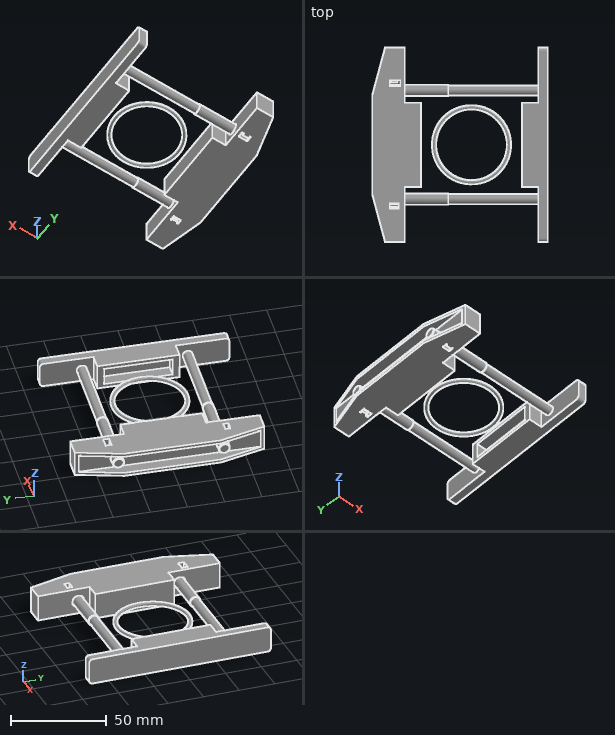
import cadquery as cq

overall_length = 92.0
overall_width = 102.0
height = 14.5
wall = 2.0
boss_width = 44.3
boss_length = 8.5

bracket_length = 17.1
taper_length = 6.7
nose_width = 52.0
pocket_depth = 6.4

rod_offset = 28.5
rod_front = 2.0
rod_step = 39.8
rod_thick_diameter = 6.0
rod_thin_diameter = 5.4
rod_tip_chamfer = 0.3
rod_bore_diameter = 6.5

slot_front = 9.3
slot_inner_edge = 30.6
slot_size_left = (5.4, 3.2)
slot_size_right = (4.6, 2.8)
tab_length = 3.6
tab_gap = 0.6
tab_inner_edge = 32.5

plate_thickness = 5.1
plate_corner_radius = 2.0
window_width = 36.9
window_height = 9.8
window_depth = 6.6

ring_center = 52.0
ring_outer_diameter = 41.6
ring_wire_diameter = 2.3

plate_front = overall_length - plate_thickness


def block(x_start, length, width, tall, y_center=0.0):
    """Box that starts at x_start and is centred on z = 0."""
    box = cq.Workplane("XY").box(length, width, tall, centered=(False, True, True))
    return box.translate((x_start, y_center, 0))


def x_cylinder(x_start, x_end, diameter, y_center):
    """Cylinder along X at z = 0."""
    plane = cq.Workplane("YZ", origin=(x_start, y_center, 0))
    return plane.circle(diameter / 2).extrude(x_end - x_start)


def cut_slot(bracket, side, size):
    """Cut a vertical slot next to a rod, leaving a low tab on its outer wall."""
    slot_length, slot_width = size
    slot = block(slot_front, slot_length, slot_width, height, side * (slot_inner_edge + slot_width / 2))
    tab_width = slot_inner_edge + slot_width - tab_inner_edge
    tab = block(slot_front + tab_gap, tab_length, tab_width, wall, side * (tab_inner_edge + tab_width / 2))
    tab = tab.translate((0, 0, (wall - height) / 2))
    return bracket.cut(slot.cut(tab))


def make_bracket():
    """Front bracket: tapered bar, rear boss, open front pocket, rod bores and slots."""
    outline = [
        (0, -nose_width / 2),
        (taper_length, -overall_width / 2),
        (bracket_length, -overall_width / 2),
        (bracket_length, overall_width / 2),
        (taper_length, overall_width / 2),
        (0, nose_width / 2),
    ]
    bracket = cq.Workplane("XY").polyline(outline).close().extrude(height / 2, both=True)
    bracket = bracket.union(block(bracket_length, boss_length, boss_width, height))
    bracket = bracket.cut(block(0, pocket_depth, overall_width - 2 * wall, height - 2 * wall))
    for side in (-1, 1):
        bracket = bracket.cut(x_cylinder(0, bracket_length, rod_bore_diameter, side * rod_offset))
    bracket = cut_slot(bracket, 1, slot_size_left)
    return cut_slot(bracket, -1, slot_size_right)


def make_end_plate():
    """End plate with rounded corners and a boss that holds a blind window."""
    plate = block(plate_front, plate_thickness, overall_width, height)
    plate = plate.edges("|X").fillet(plate_corner_radius)
    boss_front = plate_front - boss_length
    plate = plate.union(block(boss_front, boss_length, boss_width, height))
    return plate.cut(block(boss_front, window_depth, window_width, window_height))


def make_rod(side):
    """Stepped rod with a chamfered front tip, ending on the face of the end plate."""
    y_center = side * rod_offset
    thick = x_cylinder(rod_front, rod_step, rod_thick_diameter, y_center)
    thick = thick.faces("<X").chamfer(rod_tip_chamfer)
    return thick.union(x_cylinder(rod_step, plate_front, rod_thin_diameter, y_center))


def make_ring():
    """Round-section ring lying flat between the rods."""
    wire_radius = ring_wire_diameter / 2
    torus = cq.Solid.makeTorus(ring_outer_diameter / 2 - wire_radius, wire_radius)
    return torus.translate(cq.Vector(ring_center, 0, 0))


bracket = make_bracket()
end_plate = make_end_plate()
rods = [make_rod(side).val() for side in (-1, 1)]
ring = make_ring()

result = cq.Compound.makeCompound([bracket.val(), end_plate.val(), *rods, ring])